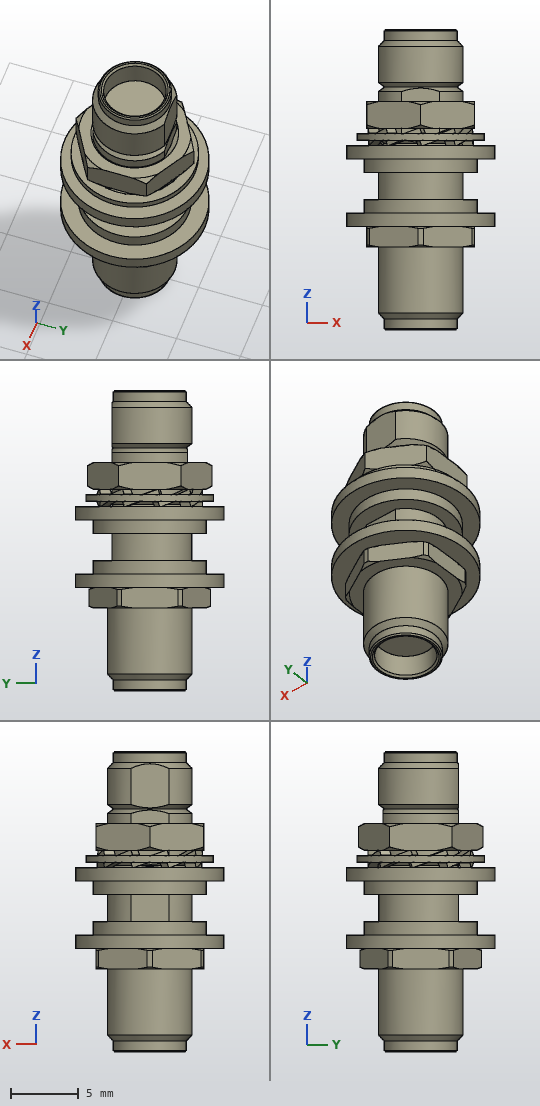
import cadquery as cq
import math


LENGTH = 22.2

BARREL_R = 3.13
TIP_R = 2.7
TIP_LENGTH = 0.8
TIP_CHAMFER = 0.1
SHOULDER_END = 1.25
UPPER_GROOVE_Z = 17.95
LOWER_GROOVE_Z = 13.79
GROOVE_R = 2.69
GROOVE_HALF_WIDTH = 0.33
FLAT_OFFSET = 2.8

SOCKET_R = 2.3
SOCKET_DEPTH = 1.95
SOCKET_CHAMFER = 0.15

FLANGE_R = 11.0 / 2
FLANGE_STEP_R = 4.2
FLANGE_T = 1.0
PANEL_GAP = 2.0
LOWER_FLANGE_Z = 7.64
LOWER_STEP_Z = LOWER_FLANGE_Z + FLANGE_T
PANEL_Z = LOWER_STEP_Z + FLANGE_T
UPPER_STEP_Z = PANEL_Z + PANEL_GAP
UPPER_FLANGE_Z = UPPER_STEP_Z + FLANGE_T
UPPER_FLANGE_TOP = UPPER_FLANGE_Z + FLANGE_T

ACROSS_FLATS = 8.0
ACROSS_CORNERS = ACROSS_FLATS / math.cos(math.pi / 6)
HEX_FACE_R = 4.17
BODY_HEX_Z = 6.13
BODY_HEX_R = 4.5
BODY_HEX_BEVEL_H = 0.13

NUT_Z = 14.9
NUT_H = 2.0
NUT_CHAMFER_ANGLE = math.radians(30)
NUT_BORE_R = 2.85
NUT_COUNTERSINK_R = 3.25

WASHER_R = 9.44 / 2
WASHER_RING_BORE_R = 3.9
WASHER_RING_T = 0.49
TOOTH_TIP_R = 3.17
TOOTH_COUNT = 9
TOOTH_UPPER_REACH = 1.27
TOOTH_END_LEAN = 0.13
TOOTH_T = 0.4
TOOTH_SLOPE = math.radians(20)
FIRST_TOOTH_ANGLE = -70.0
WASHER_GAP = NUT_Z - UPPER_FLANGE_TOP
WASHER_MID_Z = UPPER_FLANGE_TOP + WASHER_GAP / 2


def disc(radius, z, height):
    return cq.Workplane("XY").workplane(offset=z).circle(radius).extrude(height)


def revolve_profile(points):
    """Turn a closed outline of (radius, z) points around the Z axis."""
    return cq.Workplane("XZ").polyline(points).close().revolve(360, (0, 0, 0), (0, 1, 0))


def bevelled_hexagon(z, height, corner_r, bevel_h):
    """Hexagonal prism with flats facing -X and +X, its corners turned to corner_r and bevelled."""
    prism = cq.Workplane("XY").polygon(6, ACROSS_CORNERS).extrude(height)
    prism = prism.rotate((0, 0, 0), (0, 0, 1), 30).translate((0, 0, z))
    top = z + height
    turned = revolve_profile([
        (0, z),
        (HEX_FACE_R, z),
        (corner_r, z + bevel_h),
        (corner_r, top - bevel_h),
        (HEX_FACE_R, top),
        (0, top),
    ])
    return prism.intersect(turned)


def groove_points(z):
    """V-groove around the barrel, listed from bottom to top."""
    return [
        (BARREL_R, z - GROOVE_HALF_WIDTH),
        (GROOVE_R, z),
        (BARREL_R, z + GROOVE_HALF_WIDTH),
    ]


def make_barrel():
    return revolve_profile([
        (0, 0),
        (TIP_R - TIP_CHAMFER, 0),
        (TIP_R, TIP_CHAMFER),
        (TIP_R, TIP_LENGTH),
        (BARREL_R, SHOULDER_END),
        *groove_points(LOWER_GROOVE_Z),
        *groove_points(UPPER_GROOVE_Z),
        (BARREL_R, LENGTH - SHOULDER_END),
        (TIP_R, LENGTH - TIP_LENGTH),
        (TIP_R, LENGTH - TIP_CHAMFER),
        (TIP_R - TIP_CHAMFER, LENGTH),
        (0, LENGTH),
    ])


def flat_cutter(side, z_bottom, z_top):
    """Block that leaves a flat on the +Y (side = 1) or -Y (side = -1) of the barrel."""
    depth = BARREL_R
    height = z_top - z_bottom
    block = cq.Workplane("XY").box(2 * BARREL_R, depth, height, centered=(True, True, False))
    return block.translate((0, side * (FLAT_OFFSET + depth / 2), z_bottom))


def make_flanges():
    lower = disc(FLANGE_R, LOWER_FLANGE_Z, FLANGE_T)
    lower_step = disc(FLANGE_STEP_R, LOWER_STEP_Z, FLANGE_T)
    upper_step = disc(FLANGE_STEP_R, UPPER_STEP_Z, FLANGE_T)
    upper = disc(FLANGE_R, UPPER_FLANGE_Z, FLANGE_T)
    return lower.union(lower_step).union(upper_step.union(upper))


def make_body_hexagon():
    height = LOWER_FLANGE_Z - BODY_HEX_Z
    return bevelled_hexagon(BODY_HEX_Z, height, BODY_HEX_R, BODY_HEX_BEVEL_H)


def make_socket():
    """Blind bore with a chamfered mouth, opening upwards at the top end."""
    return revolve_profile([
        (0, LENGTH - SOCKET_DEPTH),
        (SOCKET_R, LENGTH - SOCKET_DEPTH),
        (SOCKET_R, LENGTH - SOCKET_CHAMFER),
        (SOCKET_R + SOCKET_CHAMFER, LENGTH),
        (0, LENGTH),
    ])


def make_connector_body():
    barrel = make_barrel()
    barrel = barrel.cut(flat_cutter(1, PANEL_Z, LENGTH))
    barrel = barrel.cut(flat_cutter(-1, LOWER_GROOVE_Z, UPPER_GROOVE_Z))
    body = barrel.union(make_flanges()).union(make_body_hexagon())
    socket = make_socket()
    mid_plane_point = (0, 0, LENGTH / 2)
    return body.cut(socket).cut(socket.mirror("XY", mid_plane_point))


def make_nut(connector_body):
    top = NUT_Z + NUT_H
    corner_r = ACROSS_CORNERS / 2
    slope = math.tan(NUT_CHAMFER_ANGLE)
    bevel_h = (corner_r - HEX_FACE_R) * slope
    countersink_h = (NUT_COUNTERSINK_R - NUT_BORE_R) * slope
    bore = revolve_profile([
        (0, NUT_Z),
        (NUT_COUNTERSINK_R, NUT_Z),
        (NUT_BORE_R, NUT_Z + countersink_h),
        (NUT_BORE_R, top - countersink_h),
        (NUT_COUNTERSINK_R, top),
        (0, top),
    ])
    blank = bevelled_hexagon(NUT_Z, NUT_H, corner_r, bevel_h)
    return blank.cut(bore).cut(connector_body)


def make_tooth():
    """Sloping tooth on the +X side, reaching inwards from the washer ring."""
    lower_reach = TOOTH_UPPER_REACH + TOOTH_END_LEAN
    upper_rise = TOOTH_UPPER_REACH * math.tan(TOOTH_SLOPE)
    lower_rise = lower_reach * math.tan(TOOTH_SLOPE)
    half_t = TOOTH_T / 2 / math.cos(TOOTH_SLOPE)
    outline = [
        (TOOTH_UPPER_REACH, upper_rise + half_t),
        (-lower_reach, -lower_rise + half_t),
        (-TOOTH_UPPER_REACH, -upper_rise - half_t),
        (lower_reach, lower_rise - half_t),
    ]
    blade = cq.Workplane("YZ").polyline(outline).close().extrude(WASHER_R)
    return blade.translate((0, 0, WASHER_MID_Z))


def make_lock_washer():
    washer = disc(WASHER_R, WASHER_MID_Z - WASHER_RING_T / 2, WASHER_RING_T)
    ring_bore = disc(WASHER_RING_BORE_R, UPPER_FLANGE_TOP, WASHER_GAP)
    washer = washer.cut(ring_bore)
    tooth_space = ring_bore.cut(disc(TOOTH_TIP_R, UPPER_FLANGE_TOP, WASHER_GAP))
    tooth = make_tooth().intersect(tooth_space)
    for i in range(TOOTH_COUNT):
        angle = FIRST_TOOTH_ANGLE + i * 360 / TOOTH_COUNT
        washer = washer.union(tooth.rotate((0, 0, 0), (0, 0, 1), angle))
    return washer


connector_body = make_connector_body()
lock_washer = make_lock_washer()
nut = make_nut(connector_body)

result = cq.Compound.makeCompound([
    connector_body.solids().val(),
    lock_washer.solids().val(),
    nut.solids().val(),
])